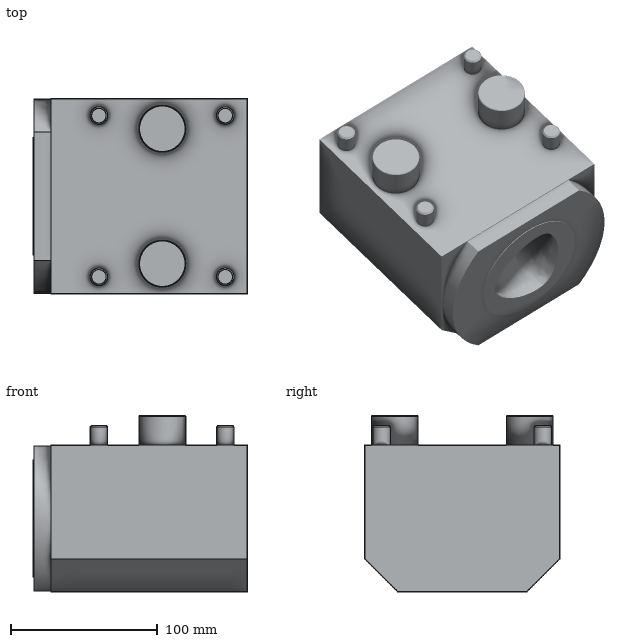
import cadquery as cq
import math

overall_length = 146.0
flange_thickness = 11.7
ring_height = 0.5
block_length = overall_length - flange_thickness - ring_height

block_width = 133.0
block_height = 100.0
bottom_chamfer = 22.5

flange_diameter = 132.3
flange_flat_height = 99.0
ring_diameter = 80.0

bore_mean_radius = 27.5
bore_lobe_height = 2.2
bore_depth = 48.0
bore_taper = 1 / 40
bore_point_count = 36

key_diameter = 5.0
key_protrusion = 1.6
key_embedment = 5.8
key_depth = bore_depth / 2

large_pin_diameter = 32.0
large_pin_height = 20.0
large_pin_chamfer = 0.5
large_pin_x = 75.9
large_pin_spacing_y = 92.0
small_pin_diameter = 12.0
small_pin_height = 13.5
small_pin_chamfer = 1.0
small_pin_first_x = 32.7
small_pin_spacing_x = 86.1
small_pin_spacing_y = 110.0

front_face_x = -flange_thickness - ring_height


def make_block():
    block = cq.Workplane("XY").box(block_length, block_width, block_height, centered=(False, True, True))
    return block.edges("|X and <Z").chamfer(bottom_chamfer)


def make_flange():
    disc = cq.Workplane("YZ").circle(flange_diameter / 2).extrude(-flange_thickness)
    flats = cq.Workplane("XY").box(2 * flange_thickness, flange_diameter, flange_flat_height)
    ring = (
        cq.Workplane("YZ", origin=(-flange_thickness, 0, 0))
        .circle(ring_diameter / 2)
        .extrude(-ring_height)
    )
    return disc.intersect(flats).union(ring)


def lobed_point(angle, mean_radius):
    """Point on a constant-width curve whose tangent distance varies three times per turn."""
    tangent_distance = mean_radius + bore_lobe_height * math.cos(3 * angle)
    tangent_shift = -3 * bore_lobe_height * math.sin(3 * angle)
    y = tangent_distance * math.cos(angle) - tangent_shift * math.sin(angle)
    z = tangent_distance * math.sin(angle) + tangent_shift * math.cos(angle)
    return y, z


def lobed_outline(mean_radius):
    step = 2 * math.pi / bore_point_count
    return [lobed_point(i * step, mean_radius) for i in range(bore_point_count)]


def make_bore():
    floor_radius = bore_mean_radius - bore_depth * bore_taper
    return (
        cq.Workplane("YZ", origin=(front_face_x, 0, 0))
        .spline(lobed_outline(bore_mean_radius), periodic=True)
        .close()
        .workplane(offset=bore_depth)
        .spline(lobed_outline(floor_radius), periodic=True)
        .close()
        .loft(ruled=True)
    )


def make_bore_key():
    wall_y = bore_lobe_height - bore_mean_radius + key_depth * bore_taper
    return (
        cq.Workplane("XZ", origin=(front_face_x + key_depth, wall_y + key_protrusion, 0))
        .circle(key_diameter / 2)
        .extrude(key_protrusion + key_embedment)
    )


def make_top_pin(x, y, diameter, height, chamfer):
    return (
        cq.Workplane("XY", origin=(x, y, block_height / 2))
        .circle(diameter / 2)
        .extrude(height)
        .faces(">Z")
        .chamfer(chamfer)
    )


result = make_block().union(make_flange()).cut(make_bore()).union(make_bore_key())

for side in (-1, 1):
    large_pin_y = side * large_pin_spacing_y / 2
    result = result.union(
        make_top_pin(large_pin_x, large_pin_y, large_pin_diameter, large_pin_height, large_pin_chamfer)
    )
    small_pin_y = side * small_pin_spacing_y / 2
    for x in (small_pin_first_x, small_pin_first_x + small_pin_spacing_x):
        result = result.union(
            make_top_pin(x, small_pin_y, small_pin_diameter, small_pin_height, small_pin_chamfer)
        )